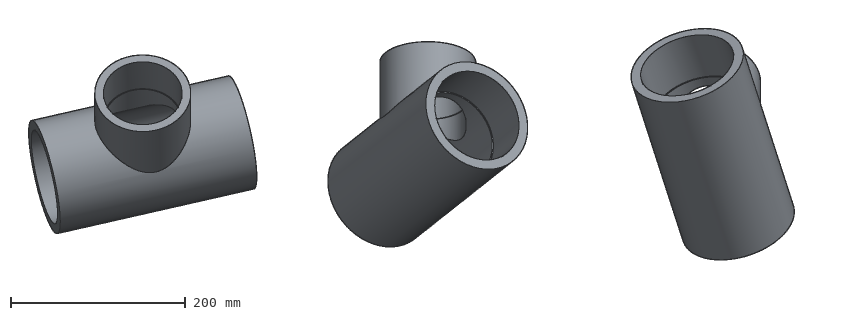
import cadquery as cq

run_length = 234.0
run_outer_diameter = 133.0
run_socket_diameter = 110.0
run_bore_diameter = 107.0
run_socket_depth = 61.0

branch_height = 117.0
branch_outer_diameter = 110.0
branch_socket_diameter = 90.0
branch_bore_diameter = 88.0
branch_socket_depth = 51.0


def run_cylinder(diameter, start_y, length):
    """Cylinder on the run axis, from start_y towards +Y."""
    base = cq.Workplane("XZ", origin=(0, start_y, 0))
    return base.circle(diameter / 2).extrude(-length)


def branch_cylinder(diameter, start_z):
    """Cylinder on the branch axis, from start_z up to the branch mouth."""
    base = cq.Workplane("XY", origin=(0, 0, start_z))
    return base.circle(diameter / 2).extrude(branch_height - start_z)


def tee_body():
    run = run_cylinder(run_outer_diameter, -run_length / 2, run_length)
    return run.union(branch_cylinder(branch_outer_diameter, 0))


def run_cavity():
    """Through bore with a wider pipe socket at each end."""
    cavity = run_cylinder(run_bore_diameter, -run_length / 2, run_length)
    for start_y in (-run_length / 2, run_length / 2 - run_socket_depth):
        cavity = cavity.union(run_cylinder(run_socket_diameter, start_y, run_socket_depth))
    return cavity


def branch_cavity():
    """Bore down to the run axis, with a wider pipe socket at the mouth."""
    bore = branch_cylinder(branch_bore_diameter, 0)
    socket = branch_cylinder(branch_socket_diameter, branch_height - branch_socket_depth)
    return bore.union(socket)


result = tee_body().cut(run_cavity()).cut(branch_cavity())